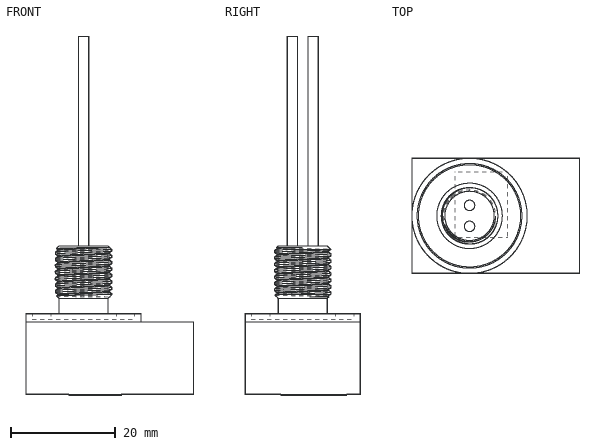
import cadquery as cq

housing_length = 32.0
housing_width = 22.0
housing_height = 13.8

flange_diameter = housing_width
flange_height = 1.6
recess_outer_diameter = 20.0
recess_wall_diameter = 19.5
recess_edge_drop = 0.1
recess_depth = 1.1
boss_diameter = 12.5

neck_diameter = 9.4
neck_height = 2.9
thread_diameter = 10.8
thread_root_diameter = 9.9
thread_length = 10.0
thread_pitch = 1.22
thread_crest_width = 0.38
groove_root_width = 0.2
thread_start_angle = 37.0
thread_overrun = 1.0
cutter_clearance = 0.15

wire_count = 2
wire_diameter = 2.0
wire_spacing = 4.0

pad_length = 10.0
pad_width = 12.5
pad_height = 0.2
pad_center_x = 2.2
pad_center_y = 2.1

total_height = 68.5

flange_radius = flange_diameter / 2
flange_top = housing_height + flange_height
thread_bottom = flange_top + neck_height
stud_top = thread_bottom + thread_length
wire_length = total_height - pad_height - stud_top


def cylinder(diameter, height, base_z):
    return cq.Workplane("XY").workplane(offset=base_z).circle(diameter / 2).extrude(height)


def revolve_about_axis(profile):
    """Solid of revolution about Z from (radius, height) points."""
    return cq.Workplane("XZ").polyline(profile).close().revolve(360, (0, 0, 0), (0, 1, 0))


def make_housing():
    body = cq.Workplane("XY").box(
        housing_length, housing_width, housing_height, centered=(False, True, False)
    )
    return body.translate((-flange_radius, 0, 0))


def make_flange():
    """Disc with an annular recess, beveled along its outer edge, around a flush central boss."""
    recess_floor = flange_top - recess_depth
    outer_radius = recess_outer_diameter / 2
    wall_radius = recess_wall_diameter / 2
    boss_radius = boss_diameter / 2
    recess = revolve_about_axis(
        [
            (boss_radius, recess_floor),
            (wall_radius, recess_floor),
            (wall_radius, flange_top - recess_edge_drop),
            (outer_radius, flange_top),
            (boss_radius, flange_top),
        ]
    )
    return cylinder(flange_diameter, flange_height, housing_height).cut(recess)


def make_thread_groove():
    """V-shaped cutter with a narrow flat root, following a right-handed helix along the stud."""
    root_radius = thread_root_diameter / 2
    thread_depth = thread_diameter / 2 - root_radius
    half_root = groove_root_width / 2
    half_mouth = (thread_pitch - thread_crest_width) / 2
    flank_slope = (half_mouth - half_root) / thread_depth
    cutter_radius = thread_diameter / 2 + cutter_clearance
    half_cutter = half_mouth + flank_slope * cutter_clearance
    helix = cq.Wire.makeHelix(thread_pitch, thread_length + 2 * thread_overrun, root_radius)
    groove = (
        cq.Workplane("XZ")
        .moveTo(root_radius, -half_root)
        .lineTo(cutter_radius, -half_cutter)
        .lineTo(cutter_radius, half_cutter)
        .lineTo(root_radius, half_root)
        .close()
        .sweep(cq.Workplane(obj=helix), isFrenet=True)
    )
    groove = groove.rotate((0, 0, 0), (0, 0, 1), thread_start_angle)
    return groove.translate((0, 0, thread_bottom - thread_overrun))


def make_stud():
    """Plain neck carrying a threaded length that is chamfered down to the neck at both ends."""
    neck_radius = neck_diameter / 2
    envelope_radius = thread_diameter / 2 + cutter_clearance
    cone_height = envelope_radius - neck_radius
    envelope = revolve_about_axis(
        [
            (0, thread_bottom),
            (neck_radius, thread_bottom),
            (envelope_radius, thread_bottom + cone_height),
            (envelope_radius, stud_top - cone_height),
            (neck_radius, stud_top),
            (0, stud_top),
        ]
    )
    thread = cylinder(thread_diameter, thread_length, thread_bottom).cut(make_thread_groove())
    return cylinder(neck_diameter, neck_height, flange_top).union(thread.intersect(envelope))


def make_wires():
    return (
        cq.Workplane("XY")
        .workplane(offset=stud_top)
        .rarray(wire_spacing, wire_spacing, 1, wire_count)
        .circle(wire_diameter / 2)
        .extrude(wire_length)
    )


def make_pad():
    pad = cq.Workplane("XY").box(pad_length, pad_width, pad_height, centered=(True, True, False))
    return pad.translate((pad_center_x, pad_center_y, -pad_height))


result = make_housing().union(make_flange()).union(make_stud()).union(make_wires()).union(make_pad())